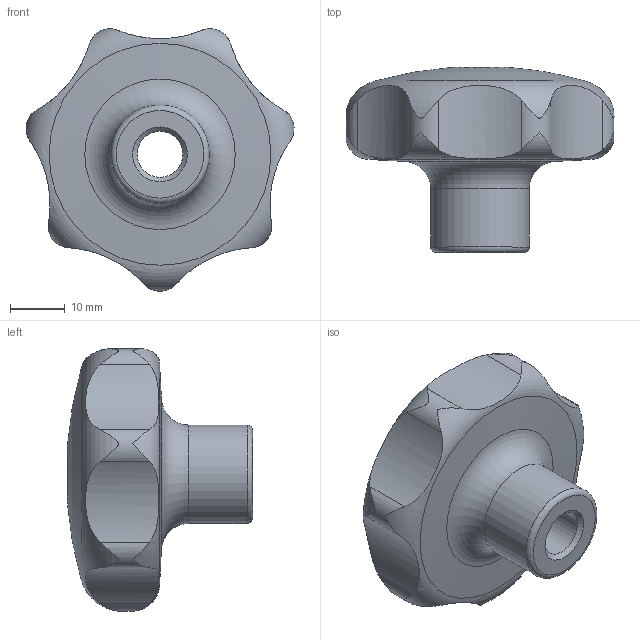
import math

import cadquery as cq


hub_radius = 18.0 / 2
hub_edge_radius = 1.0
neck_start = 11.65
neck_radius = 5.0

grip_radius = 25.0
dome_apex = 34.0
dome_radius = 70.0
back_edge_radius = 8.0
back_rim_radius = 25.05
underside_taper = math.radians(3.0)
front_edge_radius = 5.0

lobe_count = 7
lobe_tip_radius = 4.0
flute_radius = 20.0

bore_radius = 8.38 / 2
bore_mouth_radius = 10.0 / 2
back_bore_radius = 10.5 / 2
threaded_length = 20.0


def polar(radius, angle):
    """Point at the given radius and angle, measured from the local X axis."""
    return radius * math.cos(angle), radius * math.sin(angle)


def offset(center, radius, angle):
    """Point on a circle about center."""
    dx, dy = polar(radius, angle)
    return center[0] + dx, center[1] + dy


def revolved_body():
    """Hub, flared neck and domed disc, revolved about Y from a (radius, height) half section."""
    neck_center = (hub_radius + neck_radius, neck_start)
    neck_end_angle = math.pi / 2 + underside_taper
    neck_middle_angle = (math.pi + neck_end_angle) / 2
    neck_end = offset(neck_center, neck_radius, neck_end_angle)

    front_angle = underside_taper - math.pi / 2
    front_center_x = grip_radius - front_edge_radius
    underside_end_x = front_center_x + front_edge_radius * math.cos(front_angle)
    underside_end_y = neck_end[1] + (underside_end_x - neck_end[0]) * math.tan(underside_taper)
    front_center = (front_center_x, underside_end_y - front_edge_radius * math.sin(front_angle))

    dome_center = (0.0, dome_apex - dome_radius)
    back_center_x = back_rim_radius - back_edge_radius
    center_distance = dome_radius - back_edge_radius
    back_angle = math.acos(back_center_x / center_distance)
    back_center = offset(dome_center, center_distance, back_angle)

    return (
        cq.Workplane("XY")
        .moveTo(0, 0)
        .lineTo(hub_radius - hub_edge_radius, 0)
        .radiusArc((hub_radius, hub_edge_radius), -hub_edge_radius)
        .lineTo(hub_radius, neck_start)
        .threePointArc(offset(neck_center, neck_radius, neck_middle_angle), neck_end)
        .lineTo(underside_end_x, underside_end_y)
        .threePointArc(
            offset(front_center, front_edge_radius, front_angle / 2),
            (grip_radius, front_center[1]),
        )
        .lineTo(back_rim_radius, back_center[1])
        .threePointArc(
            offset(back_center, back_edge_radius, back_angle / 2),
            offset(back_center, back_edge_radius, back_angle),
        )
        .threePointArc(
            offset(dome_center, dome_radius, (back_angle + math.pi / 2) / 2),
            (0, dome_apex),
        )
        .close()
        .revolve(360, (0, 0, 0), (0, 1, 0))
    )


def star_prism():
    """Prism over the lobed outline: convex tips joined tangentially by concave flutes."""
    half_pitch = math.pi / lobe_count
    tip_center_radius = grip_radius - lobe_tip_radius

    touching_distance = lobe_tip_radius + flute_radius
    along, across = polar(tip_center_radius, half_pitch)
    flute_center_radius = along + math.sqrt(touching_distance**2 - across**2)
    flute_depth_radius = flute_center_radius - flute_radius
    flute_half_angle = math.asin(across / touching_distance)
    joint_x = flute_center_radius - flute_radius * math.cos(flute_half_angle)
    joint_y = flute_radius * math.sin(flute_half_angle)
    joint_radius = math.hypot(joint_x, joint_y)
    joint_angle = math.atan2(joint_y, joint_x)

    first_flute = math.pi / 2
    outline = cq.Workplane("XZ").moveTo(*polar(joint_radius, first_flute - joint_angle))
    for index in range(lobe_count):
        flute = first_flute + index * 2 * half_pitch
        tip = flute + half_pitch
        next_flute = tip + half_pitch
        outline = outline.threePointArc(
            polar(flute_depth_radius, flute),
            polar(joint_radius, flute + joint_angle),
        )
        outline = outline.threePointArc(
            polar(grip_radius, tip),
            polar(joint_radius, next_flute - joint_angle),
        )
    return outline.close().extrude(-dome_apex)


def bore():
    """Through bore with a 45 degree mouth at the hub end and a wider bore from the back."""
    mouth_depth = bore_mouth_radius - bore_radius
    return (
        cq.Workplane("XY")
        .polyline([
            (0, 0),
            (bore_mouth_radius, 0),
            (bore_radius, mouth_depth),
            (bore_radius, threaded_length),
            (back_bore_radius, threaded_length),
            (back_bore_radius, dome_apex),
            (0, dome_apex),
        ])
        .close()
        .revolve(360, (0, 0, 0), (0, 1, 0))
    )


result = revolved_body().intersect(star_prism()).cut(bore())